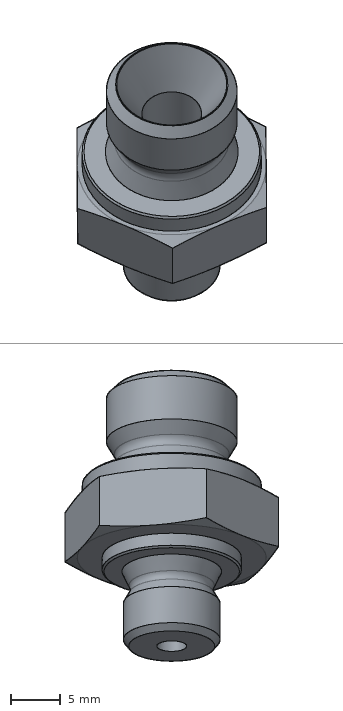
import cadquery as cq
import math

TOTAL_HEIGHT = 27.5
LOWER_THREAD_TOP = 4.56
LOWER_NECK_BOTTOM = 5.58
LOWER_NECK_TOP = 6.5
LOWER_COLLAR_BOTTOM = 8.0
HEX_BOTTOM = 9.5
HEX_TOP = 15.5
UPPER_COLLAR_TOP = 17.5
UPPER_NECK_BOTTOM = 19.42
UPPER_NECK_TOP = 20.57
UPPER_THREAD_BOTTOM = 21.92

LOWER_THREAD_DIAMETER = 9.74
LOWER_NECK_DIAMETER = 8.35
LOWER_NECK_EDGE_DIAMETER = 8.58
LOWER_CONE_DIAMETER = 10.0
LOWER_COLLAR_DIAMETER = 14.0
UPPER_COLLAR_DIAMETER = 18.0
UPPER_CONE_DIAMETER = 13.35
UPPER_NECK_DIAMETER = 11.28
UPPER_NECK_EDGE_DIAMETER = 11.58
UPPER_THREAD_DIAMETER = 13.15

LOWER_END_CHAMFER_RADIAL = 0.55
LOWER_END_CHAMFER_HEIGHT = 0.7
UPPER_END_CHAMFER = 0.94
COLLAR_CHAMFER = 0.2

HEX_ACROSS_FLATS = 19.0
HEX_CHAMFER_ANGLE = 15.0

THROUGH_DIAMETER = 3.0
BORE_DIAMETER = 6.0
SEAT_DIAMETER = 11.05
SEAT_HALF_ANGLE = 30.0
BORE_BOTTOM = 12.5
DRILL_HALF_ANGLE = 59.0


def revolve_profile(points):
    """Revolve a closed (radius, height) outline about the Z axis."""
    outline = cq.Workplane("XZ").polyline(points).close()
    return outline.revolve(360, (0, 0, 0), (0, 1, 0))


def cone_height(large_diameter, small_diameter, half_angle):
    return (large_diameter - small_diameter) / 2 / math.tan(math.radians(half_angle))


def turned_body():
    """Both threaded ends with their rounded necks and collars."""
    lower_thread = LOWER_THREAD_DIAMETER / 2
    lower_neck_edge = LOWER_NECK_EDGE_DIAMETER / 2
    lower_neck_middle = (LOWER_NECK_DIAMETER / 2, (LOWER_NECK_BOTTOM + LOWER_NECK_TOP) / 2)
    lower_collar = LOWER_COLLAR_DIAMETER / 2
    upper_collar = UPPER_COLLAR_DIAMETER / 2
    upper_neck_edge = UPPER_NECK_EDGE_DIAMETER / 2
    upper_neck_middle = (UPPER_NECK_DIAMETER / 2, (UPPER_NECK_BOTTOM + UPPER_NECK_TOP) / 2)
    upper_thread = UPPER_THREAD_DIAMETER / 2
    outline = (
        cq.Workplane("XZ")
        .lineTo(lower_thread - LOWER_END_CHAMFER_RADIAL, 0)
        .lineTo(lower_thread, LOWER_END_CHAMFER_HEIGHT)
        .lineTo(lower_thread, LOWER_THREAD_TOP)
        .lineTo(lower_neck_edge, LOWER_NECK_BOTTOM)
        .threePointArc(lower_neck_middle, (lower_neck_edge, LOWER_NECK_TOP))
        .lineTo(LOWER_CONE_DIAMETER / 2, LOWER_COLLAR_BOTTOM)
        .lineTo(lower_collar - COLLAR_CHAMFER, LOWER_COLLAR_BOTTOM)
        .lineTo(lower_collar, LOWER_COLLAR_BOTTOM + COLLAR_CHAMFER)
        .lineTo(lower_collar, HEX_BOTTOM)
        .lineTo(upper_collar, HEX_BOTTOM)
        .lineTo(upper_collar, UPPER_COLLAR_TOP - COLLAR_CHAMFER)
        .lineTo(upper_collar - COLLAR_CHAMFER, UPPER_COLLAR_TOP)
        .lineTo(UPPER_CONE_DIAMETER / 2, UPPER_COLLAR_TOP)
        .lineTo(upper_neck_edge, UPPER_NECK_BOTTOM)
        .threePointArc(upper_neck_middle, (upper_neck_edge, UPPER_NECK_TOP))
        .lineTo(upper_thread, UPPER_THREAD_BOTTOM)
        .lineTo(upper_thread, TOTAL_HEIGHT - UPPER_END_CHAMFER)
        .lineTo(upper_thread - UPPER_END_CHAMFER, TOTAL_HEIGHT)
        .lineTo(0, TOTAL_HEIGHT)
        .close()
    )
    return outline.revolve(360, (0, 0, 0), (0, 1, 0))


def hexagon():
    """Hexagonal grip whose corners are trimmed by a cone at both faces."""
    corner_diameter = HEX_ACROSS_FLATS / math.cos(math.radians(30))
    prism = (
        cq.Workplane("XY", origin=(0, 0, HEX_BOTTOM))
        .transformed(rotate=(0, 0, 90))
        .polygon(6, corner_diameter)
        .extrude(HEX_TOP - HEX_BOTTOM)
    )
    face_radius = HEX_ACROSS_FLATS / 2
    corner_radius = corner_diameter / 2
    corner_drop = (corner_radius - face_radius) * math.tan(math.radians(HEX_CHAMFER_ANGLE))
    envelope = revolve_profile([
        (0, HEX_BOTTOM),
        (face_radius, HEX_BOTTOM),
        (corner_radius, HEX_BOTTOM + corner_drop),
        (corner_radius, HEX_TOP - corner_drop),
        (face_radius, HEX_TOP),
        (0, HEX_TOP),
    ])
    return prism.intersect(envelope)


def stepped_bore():
    """Conical seat, main bore with a drill-point floor, and a small through hole."""
    seat_depth = cone_height(SEAT_DIAMETER, BORE_DIAMETER, SEAT_HALF_ANGLE)
    floor_depth = cone_height(BORE_DIAMETER, THROUGH_DIAMETER, DRILL_HALF_ANGLE)
    return revolve_profile([
        (0, 0),
        (THROUGH_DIAMETER / 2, 0),
        (THROUGH_DIAMETER / 2, BORE_BOTTOM - floor_depth),
        (BORE_DIAMETER / 2, BORE_BOTTOM),
        (BORE_DIAMETER / 2, TOTAL_HEIGHT - seat_depth),
        (SEAT_DIAMETER / 2, TOTAL_HEIGHT),
        (0, TOTAL_HEIGHT),
    ])


result = turned_body().union(hexagon()).cut(stepped_bore())